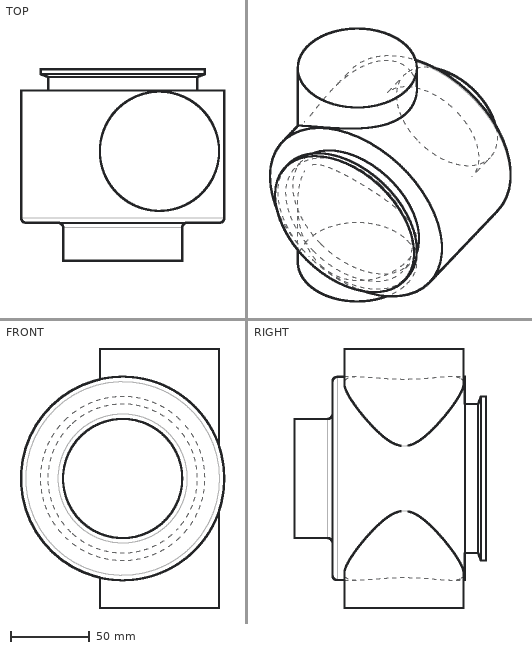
import cadquery as cq

body_radius = 65.1
body_front = -45.8
body_back = 39.0
edge_radius = 3.2

pipe_radius = 38.1
cross_pipe_length = 165.9
cross_pipe_offset = 23.5
front_pipe_length = 24.4

rear_end = 52.5
neck_radius = 47.8
flange_radius = 52.5
flange_rim = 3.3
flange_taper_length = 1.8


def make_drum_profile():
    """Revolved half section of the drum, front pipe, neck and flange (radius, Y)."""
    front_end = body_front - front_pipe_length
    rim_front = rear_end - flange_rim
    taper_front = rim_front - flange_taper_length
    return (
        cq.Workplane("XY")
        .moveTo(0, front_end)
        .lineTo(pipe_radius, front_end)
        .lineTo(pipe_radius, body_front - edge_radius)
        .radiusArc((pipe_radius + edge_radius, body_front), edge_radius)
        .lineTo(body_radius - edge_radius, body_front)
        .radiusArc((body_radius, body_front + edge_radius), -edge_radius)
        .lineTo(body_radius, body_back)
        .lineTo(neck_radius, body_back)
        .lineTo(neck_radius, taper_front)
        .lineTo(flange_radius, rim_front)
        .lineTo(flange_radius, rear_end)
        .lineTo(0, rear_end)
        .close()
    )


def make_cross_pipe():
    """Vertical pipe passing through the drum, offset toward +X."""
    return (
        cq.Workplane("XY")
        .center(cross_pipe_offset, 0)
        .circle(pipe_radius)
        .extrude(cross_pipe_length / 2, both=True)
    )


drum = make_drum_profile().revolve(360, (0, 0, 0), (0, 1, 0))
result = drum.union(make_cross_pipe())